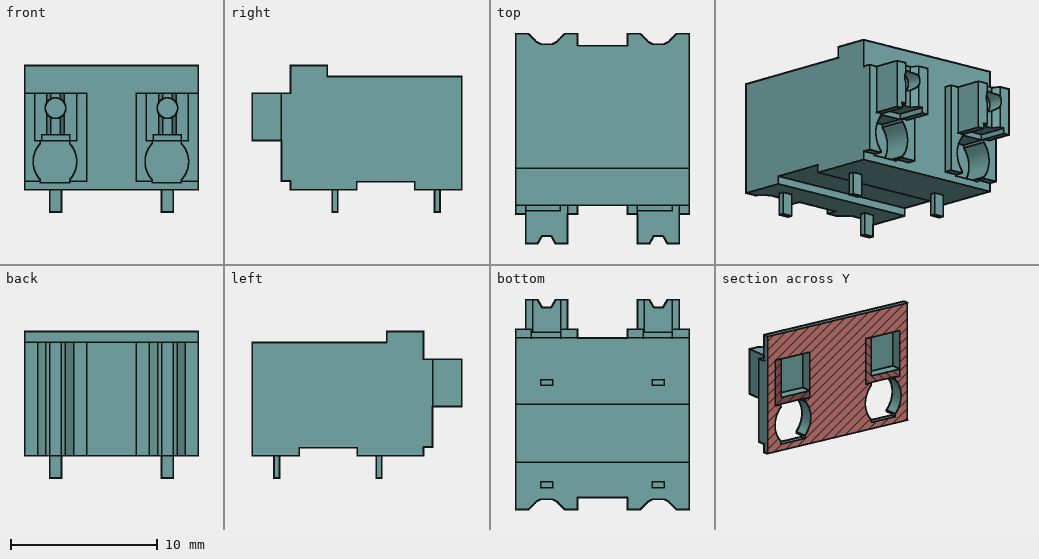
import cadquery as cq


pole_pitch = 7.62
pole_positions = [-pole_pitch / 2, pole_pitch / 2]

housing_width = 11.84
housing_depth = 11.7
ridge_height = 8.48
ridge_depth = 2.53
rear_height = 7.72
under_slot_front = 4.53
under_slot_rear = 8.48
under_slot_height = 0.55
pad_width = housing_width - pole_pitch

pad_bottom = 0.59
pad_top = 6.59
pad_thickness = 0.6

rear_pad_thickness = 0.82
groove_width = 2.46
groove_shoulder_width = 1.35
groove_shoulder_depth = 0.56
groove_floor_width = 0.77
groove_depth = 0.7

button_width = 2.86
button_bottom = 3.35
button_top = pad_top
button_height = button_top - button_bottom
button_front = -2.6
button_relief_front = -0.37
button_wall = 0.5
button_groove_width = 1.22
button_groove_floor = 0.63
button_groove_depth = 0.51
button_notch_width = 1.9
button_notch_height = 0.39
tool_hole_diameter = 1.4
tool_hole_z = 5.56
tool_hole_depth = 1.15
button_pocket_depth = 1.4

entry_offset = -0.05
entry_flat_width = 2.0
entry_bulge_width = 2.97
entry_bulge_height = 2.46
entry_bottom = 0.49
entry_top = button_bottom
entry_z = (entry_bottom + entry_top) / 2
entry_depth = button_pocket_depth

pin_width = 0.82
pin_thickness = 0.39
pin_length = 1.52
pin_rows = [3.05, 10.01]


def box(x_min, x_max, y_min, y_max, z_min, z_max):
    """Axis-aligned block between the given limits."""
    size = (x_max - x_min, y_max - y_min, z_max - z_min)
    return cq.Workplane("XY").box(*size, centered=False).translate((x_min, y_min, z_min))


def centred_box(x, width, y_min, y_max, z_min, z_max):
    """Block of the given width, centred on x."""
    return box(x - width / 2, x + width / 2, y_min, y_max, z_min, z_max)


def rear_groove(x):
    """Flat-bottomed V groove running up the rear pad."""
    shoulder_y = housing_depth - groove_shoulder_depth
    floor_y = housing_depth - groove_depth
    return (
        cq.Workplane("XY")
        .moveTo(x - groove_width / 2, housing_depth)
        .lineTo(x - groove_shoulder_width / 2, shoulder_y)
        .lineTo(x - groove_floor_width / 2, floor_y)
        .lineTo(x + groove_floor_width / 2, floor_y)
        .lineTo(x + groove_shoulder_width / 2, shoulder_y)
        .lineTo(x + groove_width / 2, housing_depth)
        .close()
        .extrude(rear_height)
    )


def wire_entry(x):
    """Blind opening with flat top and bottom and bulging sides."""
    half_flat = entry_flat_width / 2
    half_bulge = entry_bulge_width / 2
    arc_bottom = entry_z - entry_bulge_height / 2
    arc_top = entry_z + entry_bulge_height / 2
    return (
        cq.Workplane("XZ", origin=(x + entry_offset, -pad_thickness, 0))
        .moveTo(-half_flat, entry_bottom)
        .lineTo(half_flat, entry_bottom)
        .lineTo(half_flat, arc_bottom)
        .threePointArc((half_bulge, entry_z), (half_flat, arc_top))
        .lineTo(half_flat, entry_top)
        .lineTo(-half_flat, entry_top)
        .lineTo(-half_flat, arc_top)
        .threePointArc((-half_bulge, entry_z), (-half_flat, arc_bottom))
        .close()
        .extrude(-(pad_thickness + entry_depth))
    )


def make_housing():
    """Main block with its top ridge, pads, grooves, wire entries and button pockets."""
    body = (
        cq.Workplane("YZ", origin=(-housing_width / 2, 0, 0))
        .polyline([
            (0, 0),
            (under_slot_front, 0),
            (under_slot_front, under_slot_height),
            (under_slot_rear, under_slot_height),
            (under_slot_rear, 0),
            (housing_depth, 0),
            (housing_depth, rear_height),
            (ridge_depth, rear_height),
            (ridge_depth, ridge_height),
            (0, ridge_height),
        ])
        .close()
        .extrude(housing_width)
    )
    rear_gap_width = pole_pitch - pad_width
    rear_gap_front = housing_depth - rear_pad_thickness
    body = body.cut(centred_box(0, rear_gap_width, rear_gap_front, housing_depth, 0, rear_height))
    for x in pole_positions:
        body = body.union(centred_box(x, pad_width, -pad_thickness, 0, pad_bottom, pad_top))
        body = body.cut(rear_groove(x))
        body = body.cut(wire_entry(x))
        body = body.cut(
            centred_box(x, button_width, -pad_thickness, button_pocket_depth, button_bottom, button_top)
        )
    return body


def make_button(x):
    """Button filling its pocket, hollowed at the rear except for a bottom plate and a right-hand arm."""
    block = centred_box(x, button_width, button_front, button_pocket_depth, button_bottom, button_top)
    relief = box(
        x - button_width / 2,
        x + button_width / 2 - button_wall,
        button_relief_front,
        button_pocket_depth,
        button_bottom + button_wall,
        button_top,
    )
    groove = (
        cq.Workplane("XY", origin=(x, button_front, button_bottom))
        .polyline([
            (-button_groove_width / 2, 0),
            (button_groove_width / 2, 0),
            (button_groove_floor / 2, button_groove_depth),
            (-button_groove_floor / 2, button_groove_depth),
        ])
        .close()
        .extrude(button_height)
    )
    tool_hole = (
        cq.Workplane("XZ", origin=(x, button_front, tool_hole_z))
        .circle(tool_hole_diameter / 2)
        .extrude(-tool_hole_depth)
    )
    notch_top = button_bottom + button_notch_height
    notch = centred_box(x, button_notch_width, button_front, button_relief_front, button_bottom, notch_top)
    return block.cut(relief).cut(groove).cut(tool_hole).cut(notch)


def make_pin(x, y):
    """Straight rectangular pin hanging from the underside."""
    return centred_box(x, pin_width, y - pin_thickness / 2, y + pin_thickness / 2, -pin_length, 0)


housing = make_housing()
buttons = [make_button(x) for x in pole_positions]
pins = [make_pin(x, y) for x in pole_positions for y in pin_rows]

result = cq.Compound.makeCompound([
    housing.val(),
    *[button.val() for button in buttons],
    *[pin.val() for pin in pins],
])